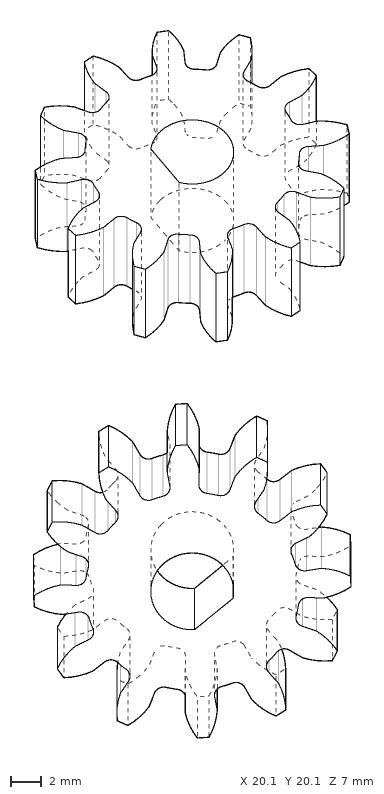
import cadquery as cq
import math

outer_size = 20.07
thickness = 7.0

tooth_count = 12
tooth_pitch = 360.0 / tooth_count
half_pitch = tooth_pitch / 2
root_radius = 6.95
root_land_half_angle = 3.1
root_fillet_radius = 0.62
flank_slope = 8.0
tip_half_width = 0.38
shoulder_distance = 8.47
shoulder_half_width = 1.05
crown_mid_distance = 9.43
crown_mid_half_width = 0.8

tip_distance = (
    outer_size / 2 - tip_half_width * math.sin(math.radians(half_pitch))
) / math.cos(math.radians(half_pitch))

bore_radius = 2.69
flat_distance = 2.1
flat_direction = 247.5


def polar(radius, degrees):
    """Point at a radius and angle about the gear centre."""
    angle = math.radians(degrees)
    return radius * math.cos(angle), radius * math.sin(angle)


def half_tooth_points():
    """One flank from root to tip, for a tooth along X, on its +Y side."""
    land_angle = half_pitch - root_land_half_angle
    center_x, center_y = polar(root_radius + root_fillet_radius, land_angle)

    def on_fillet(degrees):
        x, y = polar(root_fillet_radius, degrees)
        return center_x + x, center_y + y

    start_angle = 180 + land_angle
    end_angle = 270 + flank_slope
    return [
        on_fillet(start_angle),
        on_fillet((start_angle + end_angle) / 2),
        on_fillet(end_angle),
        (shoulder_distance, shoulder_half_width),
        (crown_mid_distance, crown_mid_half_width),
        (tip_distance, tip_half_width),
    ]


def place(point, side, degrees):
    """Put a flank point on one side (+1 or -1) of the tooth at an angle."""
    x, y = point
    radius = math.hypot(x, y)
    return polar(radius, degrees + side * math.degrees(math.atan2(y, x)))


def gear_outline():
    """Closed gear outline, drawn counter-clockwise tooth by tooth."""
    flank = half_tooth_points()
    outline = cq.Workplane("XY").moveTo(*place(flank[0], -1, half_pitch))
    for index in range(tooth_count):
        angle = half_pitch + index * tooth_pitch
        rising = [place(point, -1, angle) for point in flank]
        falling = [place(point, 1, angle) for point in reversed(flank)]
        next_root = place(flank[0], -1, angle + tooth_pitch)
        outline = (
            outline.threePointArc(rising[1], rising[2])
            .lineTo(*rising[3])
            .threePointArc(rising[4], rising[5])
            .lineTo(*falling[0])
            .threePointArc(falling[1], falling[2])
            .lineTo(*falling[3])
            .threePointArc(falling[4], falling[5])
            .threePointArc(polar(root_radius, angle + half_pitch), next_root)
        )
    return outline.close()


def d_bore():
    """Round through bore with one flat side."""
    half_angle = math.degrees(math.acos(flat_distance / bore_radius))
    flat_start = polar(bore_radius, flat_direction - half_angle)
    flat_end = polar(bore_radius, flat_direction + half_angle)
    opposite = polar(bore_radius, flat_direction + 180)
    return (
        cq.Workplane("XY")
        .moveTo(*flat_start)
        .lineTo(*flat_end)
        .threePointArc(opposite, flat_start)
        .close()
        .extrude(thickness)
    )


result = gear_outline().extrude(thickness).cut(d_bore())